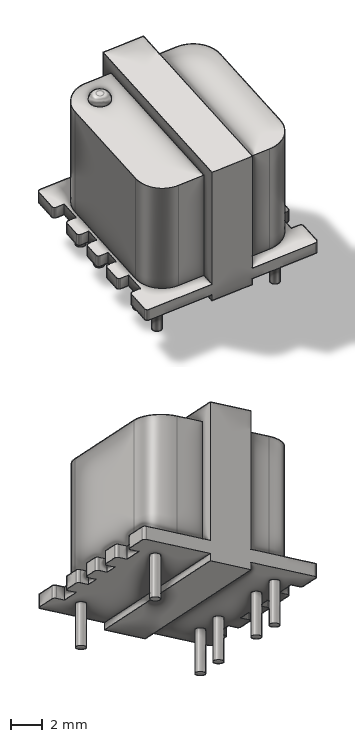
import cadquery as cq
import math

plate_length = 13.41
plate_width = 12.75
plate_thickness = 0.9

notch_depth = 0.79
end_tooth_width = 2.0
middle_tooth_width = 1.4
side_tooth_width = 1.54
side_tooth_center = 2.45
tooth_corner_radius = 0.2

winding_margin = 1.0
winding_height = 8.5
winding_radius = 2.0
winding_length = plate_length - 2 * winding_margin
winding_width = plate_width - 2 * winding_margin
winding_top = plate_thickness + winding_height

core_width = 3.0
core_above_winding = 1.0
core_below_plate = 0.5
core_height = core_below_plate + winding_top + core_above_winding

dot_diameter = 1.5
dot_height = 0.5
dot_x = -3.93
dot_y = -3.4

pin_diameter = 0.7
pin_length = 3.0
pin_row_inset = 2.0
pin_row_y = plate_width / 2 - pin_row_inset
outer_pin_x = 4.7
inner_pin_x = 2.4
front_pin_xs = [-outer_pin_x, -inner_pin_x, inner_pin_x, outer_pin_x]
back_pin_xs = [-outer_pin_x, outer_pin_x]


def make_plate():
    """Plate with five rounded teeth along each long edge."""
    web_width = plate_width - 2 * notch_depth
    plate = cq.Workplane("XY").box(plate_length, web_width, plate_thickness, centered=(True, True, False))
    end_tooth_center = (plate_length - end_tooth_width) / 2
    teeth = [
        (-end_tooth_center, end_tooth_width),
        (-side_tooth_center, side_tooth_width),
        (0, middle_tooth_width),
        (side_tooth_center, side_tooth_width),
        (end_tooth_center, end_tooth_width),
    ]
    for center_x, width in teeth:
        bar = (
            cq.Workplane("XY")
            .center(center_x, 0)
            .box(width, plate_width, plate_thickness, centered=(True, True, False))
            .edges("|Z")
            .fillet(tooth_corner_radius)
        )
        plate = plate.union(bar)
    return plate


def make_winding():
    """Block with rounded vertical corners."""
    return (
        cq.Workplane("XY", origin=(0, 0, plate_thickness))
        .box(winding_length, winding_width, winding_height, centered=(True, True, False))
        .edges("|Z")
        .fillet(winding_radius)
    )


def make_core():
    """Rectangular band that stands above the winding and below the plate."""
    return cq.Workplane("XY", origin=(0, 0, -core_below_plate)).box(
        plate_length, core_width, core_height, centered=(True, True, False)
    )


def make_dot():
    """Disc whose rim is rounded over its full height, leaving a small flat top."""
    flat_radius = dot_diameter / 2 - dot_height
    bulge = dot_height * math.sqrt(0.5)
    return (
        cq.Workplane("XZ")
        .lineTo(dot_diameter / 2, 0)
        .threePointArc((flat_radius + bulge, bulge), (flat_radius, dot_height))
        .lineTo(0, dot_height)
        .close()
        .revolve(360, (0, 0, 0), (0, 1, 0))
        .translate((dot_x, dot_y, winding_top))
    )


def make_housing():
    """Plate, winding, core and mark as one solid."""
    return make_plate().union(make_winding()).union(make_core()).union(make_dot())


def make_pin(x, y):
    """Round pin hanging from the underside of the plate."""
    return cq.Workplane("XY").center(x, y).circle(pin_diameter / 2).extrude(-pin_length)


housing = make_housing()
pins = []
for pin_x in front_pin_xs:
    pins.append(make_pin(pin_x, -pin_row_y).val())
for pin_x in back_pin_xs:
    pins.append(make_pin(pin_x, pin_row_y).val())

result = cq.Compound.makeCompound([housing.val(), *pins])